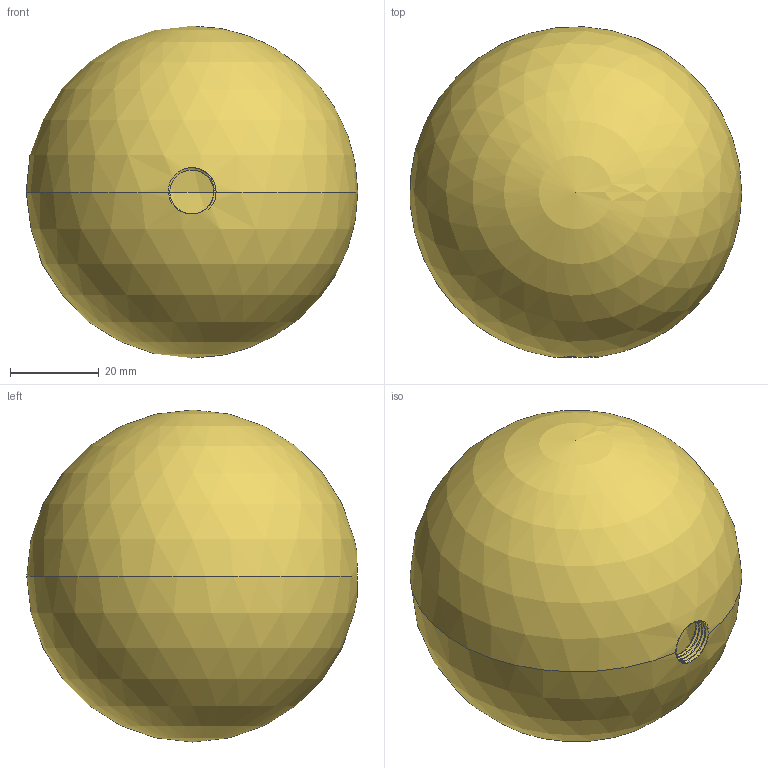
import cadquery as cq
import math

ball_diameter = 75.0
wall = 4.0
ball_radius = ball_diameter / 2
cavity_radius = ball_radius - wall

thread_diameter = 11.0
thread_pitch = 1.0
thread_flank_angle = 60.0
thread_start_angle = 120.0
crest_flat = thread_pitch / 4
root_flat = thread_pitch / 8
flank_slope = math.tan(math.radians(thread_flank_angle / 2))
thread_depth = (thread_pitch - crest_flat - root_flat) / (2 * flank_slope)
thread_radius = thread_diameter / 2
bore_radius = thread_radius - thread_depth
thread_overrun = 2 * thread_pitch
groove_overlap = 0.1


def hemisphere(radius, upper):
    """Half ball cut at the XY plane."""
    start, end = (0, 90) if upper else (-90, 0)
    return cq.Workplane("XY").sphere(radius, angle1=start, angle2=end)


def ball(radius):
    """Ball of two hemispheres, keeping the parting line on the equator."""
    return hemisphere(radius, True).union(hemisphere(radius, False), clean=False)


def thread_groove(length):
    """Flat-bottomed helical groove around +Z, starting at the XY plane."""
    inner_radius = bore_radius - groove_overlap
    root_half = root_flat / 2
    mouth_half = root_half + (thread_radius - inner_radius) * flank_slope
    profile = (
        cq.Workplane("XZ")
        .moveTo(inner_radius, -mouth_half)
        .lineTo(thread_radius, -root_half)
        .lineTo(thread_radius, root_half)
        .lineTo(inner_radius, mouth_half)
        .close()
    )
    helix = cq.Wire.makeHelix(thread_pitch, length, bore_radius)
    return profile.sweep(cq.Workplane(obj=helix), isFrenet=True)


def tapped_hole():
    """Bore and thread groove, laid along Y through the -Y wall."""
    length = wall + 2 * thread_overrun
    bore = cq.Workplane("XY").circle(bore_radius).extrude(length)
    cutter = bore.union(thread_groove(length))
    cutter = cutter.rotate((0, 0, 0), (0, 0, 1), thread_start_angle)
    cutter = cutter.rotate((0, 0, 0), (1, 0, 0), -90)
    return cutter.translate((0, -ball_radius - thread_overrun, 0))


shell = ball(ball_radius).cut(ball(cavity_radius), clean=False)
result = shell.cut(tapped_hole(), clean=False)